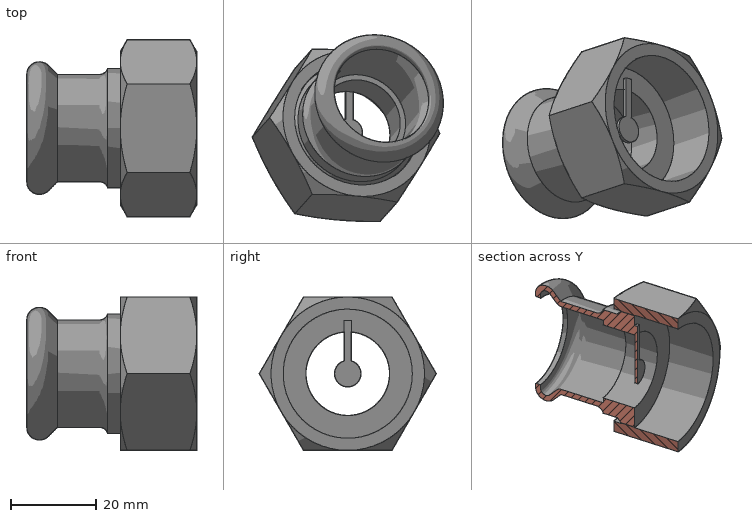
import cadquery as cq
import math

overall_length = 39.9

nut_bore_diameter = 30.3

nut_across_corners = 41.55
nut_across_flats = nut_across_corners * math.cos(math.radians(30))
nut_start = 21.95
nut_length = overall_length - nut_start
nut_chamfer_angle = 30.0

bead_center_radius = 25.2 / 2
bead_section_radius = 3.0
tube_radius = 12.65
neck_start = 17.13
collar_start = 19.0
collar_radius = 28.1 / 2
flange_radius = nut_bore_diameter / 2
flange_cone_start = 22.95
flange_cone_end = flange_cone_start + flange_radius - collar_radius
flange_rim_width = 3.75
fitting_end = flange_cone_end + flange_rim_width

mouth_radius = 24.28 / 2
lip_radius = 23.3 / 2
socket_radius = 22.2 / 2
socket_blend_radius = 1.9
socket_end = collar_start
wall = 1.55
bore_radius = 19.6 / 2

tab_disc_diameter = 6.25
tab_width = 1.75
tab_thickness = 0.85
tab_root_height = (bore_radius + flange_radius) / 2


def revolve_about_x(profile):
    return profile.close().revolve(360, (0, 0, 0), (1, 0, 0))


def make_tab():
    seat = cq.Workplane("YZ", origin=(fitting_end, 0, 0))
    disc = seat.circle(tab_disc_diameter / 2).extrude(tab_thickness)
    stem = (
        seat.center(0, tab_root_height / 2)
        .rect(tab_width, tab_root_height)
        .extrude(tab_thickness)
    )
    return disc.union(stem)


def make_fitting():
    diagonal = bead_section_radius * math.sqrt(0.5)
    bead_end_x = bead_section_radius + diagonal
    bead_end_radius = bead_center_radius + diagonal
    cone_end_x = bead_end_x + bead_end_radius - tube_radius

    groove_section_radius = bead_section_radius - wall
    groove_diagonal = groove_section_radius * math.sqrt(0.5)
    groove_end_x = bead_section_radius + groove_diagonal
    groove_end_radius = bead_center_radius + groove_diagonal
    lip_end_x = bead_section_radius - groove_section_radius
    mouth_rounding = mouth_radius - lip_radius

    blend_start_radius = socket_radius + socket_blend_radius * (1 - math.sqrt(0.5))
    blend_start_x = groove_end_x + groove_end_radius - blend_start_radius
    blend_end_x = blend_start_x + socket_blend_radius * math.sqrt(0.5)

    profile = (
        cq.Workplane("XY")
        .moveTo(0, mouth_radius)
        .lineTo(0, bead_center_radius)
        .threePointArc(
            (bead_section_radius, bead_center_radius + bead_section_radius),
            (bead_end_x, bead_end_radius),
        )
        .lineTo(cone_end_x, tube_radius)
        .lineTo(neck_start, tube_radius)
        .tangentArcPoint((collar_start, collar_radius), relative=False)
        .lineTo(flange_cone_start, collar_radius)
        .lineTo(flange_cone_end, flange_radius)
        .lineTo(fitting_end, flange_radius)
        .lineTo(fitting_end, bore_radius)
        .lineTo(socket_end, bore_radius)
        .lineTo(socket_end, socket_radius)
        .lineTo(blend_end_x, socket_radius)
        .tangentArcPoint((blend_start_x, blend_start_radius), relative=False)
        .lineTo(groove_end_x, groove_end_radius)
        .threePointArc(
            (bead_section_radius, bead_center_radius + groove_section_radius),
            (lip_end_x, bead_center_radius),
        )
        .lineTo(lip_end_x, lip_radius)
        .lineTo(mouth_rounding, lip_radius)
        .tangentArcPoint((0, mouth_radius), relative=False)
    )
    return revolve_about_x(profile).union(make_tab())


def make_nut():
    hexagon = (
        cq.Workplane("YZ", origin=(nut_start, 0, 0))
        .polygon(6, nut_across_corners)
        .extrude(nut_length)
    )

    flat_radius = nut_across_flats / 2
    corner_radius = nut_across_corners / 2
    chamfer_depth = (corner_radius - flat_radius) * math.tan(math.radians(nut_chamfer_angle))
    turned_blank = revolve_about_x(
        cq.Workplane("XY")
        .moveTo(nut_start, 0)
        .lineTo(nut_start, flat_radius)
        .lineTo(nut_start + chamfer_depth, corner_radius)
        .lineTo(overall_length - chamfer_depth, corner_radius)
        .lineTo(overall_length, flat_radius)
        .lineTo(overall_length, 0)
    )

    bore = (
        cq.Workplane("YZ", origin=(nut_start, 0, 0))
        .circle(nut_bore_diameter / 2)
        .extrude(nut_length)
    )
    return hexagon.intersect(turned_blank).cut(bore)


fitting = make_fitting()
nut = make_nut()
result = cq.Compound.makeCompound([fitting.val(), nut.val()])